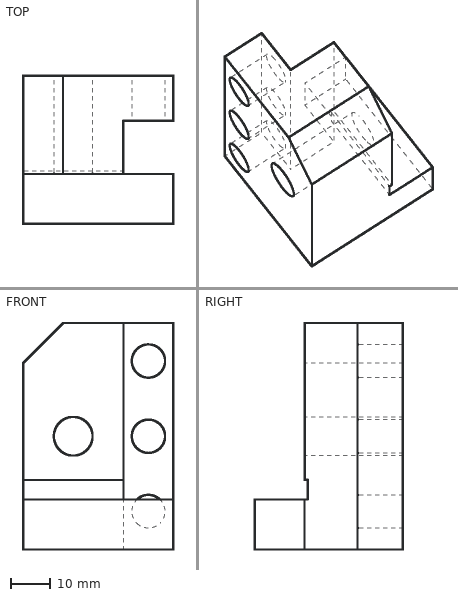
import cadquery as cq

width = 38.1
depth = 37.6
height = 57.4

foot_size = 12.7
upright_front = foot_size
upright_width = 25.4
top_chamfer = 10.15

relief_height = 4.95
relief_back = 13.45

flange_thickness = 11.5

flange_hole_diameter = 8.4
flange_hole_spacing = 19.05
upright_hole_diameter = 9.75
hole_center_height = height / 2


def box(x_range, y_range, z_range):
    """Axis-aligned box between the given limits."""
    x0, x1 = x_range
    y0, y1 = y_range
    z0, z1 = z_range
    return cq.Workplane("XY").box(x1 - x0, y1 - y0, z1 - z0, centered=False).translate((x0, y0, z0))


def hole_along_y(x, z, diameter):
    """Cylinder reaching from the back of the foot to the back face."""
    length = depth - foot_size
    return cq.Workplane("XZ", origin=(x, depth, z)).circle(diameter / 2).extrude(length)


side_profile = [
    (0, 0),
    (depth, 0),
    (depth, height),
    (upright_front, height),
    (upright_front, foot_size + relief_height),
    (relief_back, foot_size + relief_height),
    (relief_back, foot_size),
    (0, foot_size),
]
body = cq.Workplane("YZ").polyline(side_profile).close().extrude(width)

corner = (
    cq.Workplane("XZ")
    .polyline([(0, height), (top_chamfer, height), (0, height - top_chamfer)])
    .close()
    .extrude(-depth)
)
body = body.cut(corner)

flange_front = depth - flange_thickness
body = body.cut(box((upright_width, width), (foot_size, flange_front), (0, height)))

flange_hole_x = (upright_width + width) / 2
for step in (-1, 0, 1):
    hole_z = hole_center_height + step * flange_hole_spacing
    body = body.cut(hole_along_y(flange_hole_x, hole_z, flange_hole_diameter))

result = body.cut(hole_along_y(upright_width / 2, hole_center_height, upright_hole_diameter))